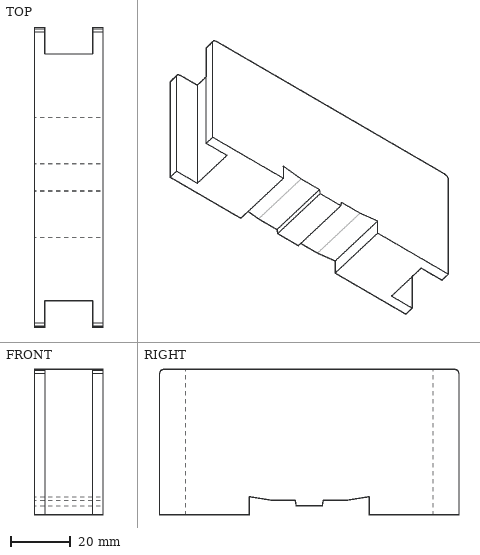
import cadquery as cq
import math

width = 23.0
length = 100.0
height = 48.6

corner_radius = 1.5
corner_inset = corner_radius * (1 - math.cos(math.radians(45)))

wall = 3.5
channel_width = width - 2 * wall
channel_depth = 8.8

notch_length = 40.0
notch_end_height = 6.0
notch_flat_height = 4.8
notch_flat_length = 25.0
tab_bottom_height = 3.0
tab_root_length = 9.4
tab_tip_length = 8.8


def extrude_symmetric_outline(half_outline):
    """Mirror a +Y half outline of (y, z) points about Y = 0 and extrude it over the full width."""
    mirrored_outline = [(-y, z) for y, z in reversed(half_outline)]
    outline = half_outline + mirrored_outline
    return cq.Workplane("YZ").polyline(outline).close().extrude(width / 2, both=True)


def make_block():
    """Block standing on Z = 0 with two flats on each upper end corner."""
    half_outline = [
        (length / 2, 0),
        (length / 2, height - corner_radius),
        (length / 2 - corner_inset, height - corner_inset),
        (length / 2 - corner_radius, height),
    ]
    return extrude_symmetric_outline(half_outline)


def make_end_channel(side):
    """Full-height channel cutter at the +Y (side = 1) or -Y (side = -1) end."""
    centre_y = side * (length - channel_depth) / 2
    cutter = cq.Workplane("XY").box(channel_width, channel_depth, height, centered=(True, True, False))
    return cutter.translate((0, centre_y, 0))


def make_notch():
    """Notch cutter running through the full width."""
    half_outline = [
        (notch_length / 2, 0),
        (notch_length / 2, notch_end_height),
        (notch_flat_length / 2, notch_flat_height),
        (tab_root_length / 2, notch_flat_height),
        (tab_tip_length / 2, tab_bottom_height),
    ]
    return extrude_symmetric_outline(half_outline)


result = make_block()
for end_side in (-1, 1):
    result = result.cut(make_end_channel(end_side))
result = result.cut(make_notch())